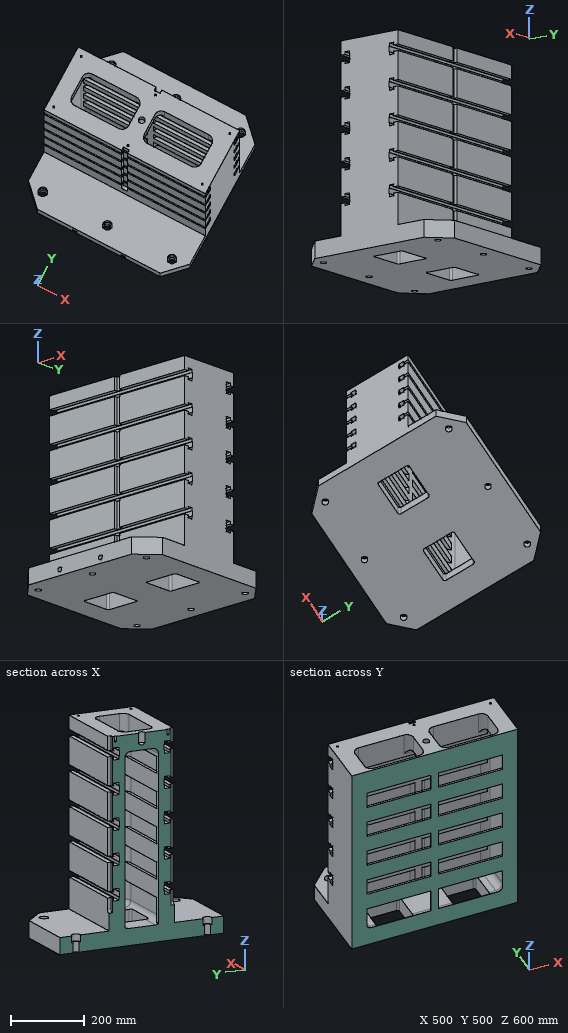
import cadquery as cq
HEIGHT = 600.0
SIDE = 500.0
BASE_THICKNESS = HEIGHT / 12
BASE_CHAMFER = 60.0
COLUMN_DEPTH = 200.0

MOUNT_SPACING = 200.0
MOUNT_COLUMNS = 3
MOUNT_ROWS = 2
MOUNT_DIAMETER = 17.5
COUNTERBORE_DIAMETER = 26.0
COUNTERBORE_DEPTH = 20.0

EDGE_HOLE_DIAMETER = 14.0
EDGE_HOLE_SPACING = 150.0
EDGE_HOLE_HEIGHT = 18.0
EDGE_HOLE_DEPTH = 30.0
DRILL_POINT_RATIO = 0.3

SLOT_COUNT = 5
SLOT_PITCH = HEIGHT / 6
THROAT_WIDTH = 18.0
HEAD_WIDTH = 33.0
THROAT_DEPTH = 15.0
SLOT_DEPTH = 30.0
RELIEF_WIDTH = 15.5
RELIEF_DEPTH = 1.0

KEYWAY_WIDTH = 18.0
KEYWAY_DEPTH = 10.0
KEYWAY_BOTTOM = 100.0

CENTRE_HOLE_DIAMETER = 18.0
CENTRE_HOLE_DEPTH = 30.0
TAP_DIAMETER = 5.0
TAP_DEPTH = 15.0
TAP_SPACING_X = 230.0
TAP_SPACING_Y = 160.0

CAVITY_LENGTH = 420.0
CAVITY_WIDTH = 120.0
CAVITY_RADIUS = 20.0
CEILING_Z = HEIGHT - BASE_THICKNESS
FLOOR_Z = BASE_THICKNESS
CORE_WIDTH = 100.0
CORE_RADIUS = 15.0
RIB_HEIGHT = 52.0
CENTRE_RIB_WIDTH = 20.0
BAY_RADIUS = 12.0

WINDOW_LENGTH = 175.0
WINDOW_RADIUS = 20.0
WINDOW_OUTER_X = 200.0
DRAIN_LENGTH = 110.0
DRAIN_RADIUS = 6.0
DRAIN_CENTRE_X = 115.0

SLOT_HEIGHTS = [HEIGHT - SLOT_PITCH * (i + 0.5) for i in range(SLOT_COUNT)]
SIDES = (-1, 1)
TAP_COLUMNS = (-1, 0, 1)


def block(x_size, y_size, z_bottom, z_top, x_centre=0, y_centre=0):
    """Box centred in X and Y between two heights."""
    box = cq.Workplane("XY").box(x_size, y_size, z_top - z_bottom, centered=(True, True, False))
    return box.translate((x_centre, y_centre, z_bottom))


def drill(diameter, depth):
    """Blind drill shape going down from the origin, with a conical point."""
    radius = diameter / 2
    point = depth + DRILL_POINT_RATIO * diameter
    half_section = cq.Workplane("XZ").polyline([(0, 0), (radius, 0), (radius, -depth), (0, -point)]).close()
    return half_section.revolve(360, (0, 0, 0), (0, 1, 0))


def make_body():
    """Square base with cut corners carrying the solid column."""
    base = block(SIDE, SIDE, 0, BASE_THICKNESS).edges("|Z").chamfer(BASE_CHAMFER)
    return base.union(block(SIDE, COLUMN_DEPTH, 0, HEIGHT))


def cut_face_slots(body):
    """T-slots and keyway, alike on the front and back faces of the column."""
    for side in SIDES:
        face_y = side * COLUMN_DEPTH / 2
        head_depth = SLOT_DEPTH - THROAT_DEPTH
        relief_depth = SLOT_DEPTH + RELIEF_DEPTH
        head_y = face_y - side * (THROAT_DEPTH + head_depth / 2)
        for z in SLOT_HEIGHTS:
            throat = block(SIDE, 2 * THROAT_DEPTH, z - THROAT_WIDTH / 2, z + THROAT_WIDTH / 2, 0, face_y)
            head = block(SIDE, head_depth, z - HEAD_WIDTH / 2, z + HEAD_WIDTH / 2, 0, head_y)
            relief = block(SIDE, 2 * relief_depth, z - RELIEF_WIDTH / 2, z + RELIEF_WIDTH / 2, 0, face_y)
            body = body.cut(throat).cut(head).cut(relief)

        end_z = KEYWAY_BOTTOM + KEYWAY_WIDTH / 2
        keyway = block(KEYWAY_WIDTH, 2 * KEYWAY_DEPTH, end_z, HEIGHT, 0, face_y)
        round_end = cq.Workplane("XZ").center(0, end_z).circle(KEYWAY_WIDTH / 2)
        round_end = round_end.extrude(KEYWAY_DEPTH, both=True).translate((0, face_y, 0))
        body = body.cut(keyway).cut(round_end)
    return body


def make_cavity():
    """Hollow made of a clear core plus wider bays left between the inner ribs."""
    envelope = block(CAVITY_LENGTH, CAVITY_WIDTH, FLOOR_Z, CEILING_Z)
    envelope = envelope.edges("|Z or <Z").fillet(CAVITY_RADIUS)

    cavity = block(CAVITY_LENGTH, CORE_WIDTH, FLOOR_Z, CEILING_Z)
    cavity = cavity.edges("|X and >Z").fillet(CORE_RADIUS)

    bay_length = (CAVITY_LENGTH - CENTRE_RIB_WIDTH) / 2
    bay_x = (CAVITY_LENGTH + CENTRE_RIB_WIDTH) / 4
    for i, slot_z in enumerate(SLOT_HEIGHTS):
        bay_top = slot_z - RIB_HEIGHT / 2
        bay_bottom = FLOOR_Z
        if i < SLOT_COUNT - 1:
            bay_bottom = SLOT_HEIGHTS[i + 1] + RIB_HEIGHT / 2
        for side in SIDES:
            bay = block(bay_length, CAVITY_WIDTH, bay_bottom, bay_top, side * bay_x)
            cavity = cavity.union(bay.edges("|Z").fillet(BAY_RADIUS))
    return cavity.intersect(envelope)


def cut_openings(body):
    """Windows through the top plate and clearance holes through the floor."""
    window_x = WINDOW_OUTER_X - WINDOW_LENGTH / 2
    for side in SIDES:
        window = block(WINDOW_LENGTH, CORE_WIDTH, CEILING_Z - CORE_RADIUS, HEIGHT, side * window_x)
        drain = block(DRAIN_LENGTH, CORE_WIDTH, 0, FLOOR_Z + CAVITY_RADIUS, side * DRAIN_CENTRE_X)
        body = body.cut(window.edges("|Z").fillet(WINDOW_RADIUS))
        body = body.cut(drain.edges("|Z").fillet(DRAIN_RADIUS))
    return body


def cut_holes(body):
    """Mounting holes, holes in the front edge and holes in the top."""
    mounts = cq.Workplane("XY").rarray(MOUNT_SPACING, 2 * MOUNT_SPACING, MOUNT_COLUMNS, MOUNT_ROWS)
    through = mounts.circle(MOUNT_DIAMETER / 2).extrude(BASE_THICKNESS)
    counterbores = mounts.circle(COUNTERBORE_DIAMETER / 2).extrude(COUNTERBORE_DEPTH)
    counterbores = counterbores.translate((0, 0, BASE_THICKNESS - COUNTERBORE_DEPTH))
    body = body.cut(through).cut(counterbores)

    edge_drill = drill(EDGE_HOLE_DIAMETER, EDGE_HOLE_DEPTH).rotate((0, 0, 0), (1, 0, 0), 90)
    for side in SIDES:
        x = side * EDGE_HOLE_SPACING / 2
        body = body.cut(edge_drill.translate((x, -SIDE / 2, EDGE_HOLE_HEIGHT)))

    body = body.cut(drill(CENTRE_HOLE_DIAMETER, CENTRE_HOLE_DEPTH).translate((0, 0, HEIGHT)))
    tap_drill = drill(TAP_DIAMETER, TAP_DEPTH)
    for step in TAP_COLUMNS:
        for side in SIDES:
            position = (step * TAP_SPACING_X, side * TAP_SPACING_Y / 2, HEIGHT)
            body = body.cut(tap_drill.translate(position))
    return body


result = make_body()
result = cut_face_slots(result)
result = result.cut(make_cavity())
result = cut_openings(result)
result = cut_holes(result)